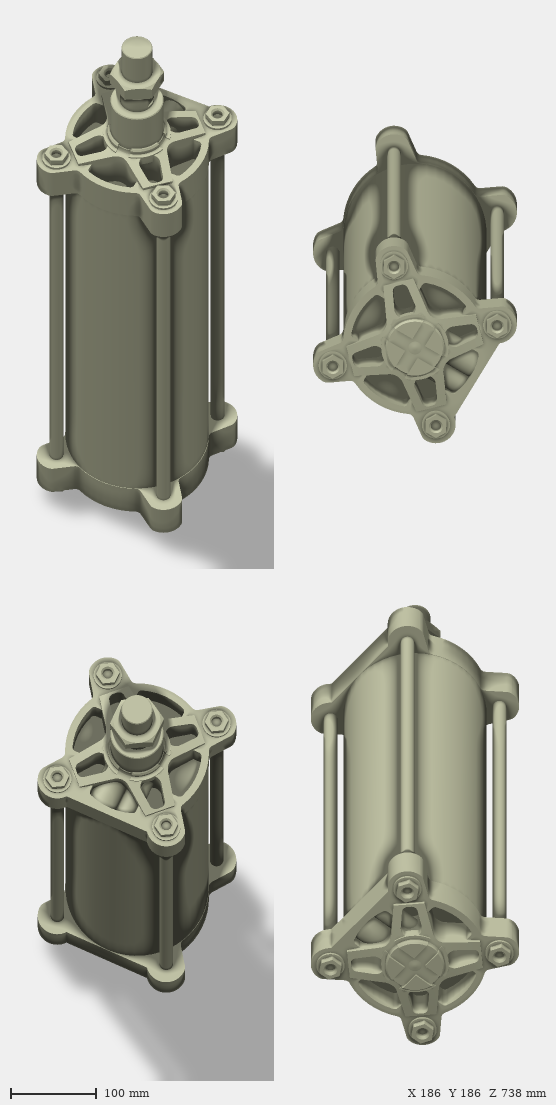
import cadquery as cq
import math


TOLERANCE = 0.01

CAP_THICKNESS = 40
BARREL_LENGTH = 478
BARREL_DIAMETER = 167
UPPER_CAP_Z = CAP_THICKNESS + BARREL_LENGTH
BODY_LENGTH = UPPER_CAP_Z + CAP_THICKNESS
CAP_DIAMETER = 168
LUG_OFFSET = 70
LUG_RADIUS = 23
LUG_BLEND_RADIUS = 12
FLAT_SIDE_Y = CAP_DIAMETER / 2
WEB_FILLET = 7
QUARTER_TURNS = (45, 135, 225, 315)

RIB_HALF_WIDTH_AT_AXIS = 30.7
RIB_TAPER = 0.16
RIB_START = 20
RIB_END = 78
RIB_END_HEIGHT = 3.8
RIB_SLOPE = 1 / 6
RIB_JOIN_RADIUS = 46
RIB_WALL = 10.5

POCKET_DEPTH = 34
SIDE_POCKET_RADIUS = 75.5
SIDE_POCKET_HALF_WIDTH = 29.5
SIDE_POCKET_INNER_FILLET = 16
SIDE_POCKET_OUTER_FILLET = 5
RIB_POCKET_START = 36.5
RIB_POCKET_END = 75
RIB_POCKET_INNER_FILLET = 11
RIB_POCKET_OUTER_FILLET = 7

BOSS_AXIS_DEPTH = CAP_THICKNESS / 2
PORT_BOSS_X = 12.5
PORT_BOSS_RADIUS = 17.5
CUSHION_BOSS_X = -18.5
CUSHION_BOSS_RADIUS = 13
BOSS_END_Y = 80

HUB_HEIGHT = 18.5
HUB_BASE_RADIUS = 39.5
HUB_BASE_HEIGHT = 12
HUB_RING_RADIUS = 34.5
HUB_RING_CHAMFER = 2
HUB_CORE_RADIUS = 32
HUB_CORE_HEIGHT = 15.5
HUB_CORE_FILLET = 5
HUB_FLOOR_HEIGHT = 10.2
HUB_SLOT_WIDTH = 17

TIE_ROD_DIAMETER = 16
WASHER_DIAMETER = 33
WASHER_THICKNESS = 3
TIE_NUT_FLATS = 24
TIE_NUT_HEIGHT = 8
TIE_NUT_BORE = 12
TIE_NUT_BORE_CHAMFER = (TIE_ROD_DIAMETER - TIE_NUT_BORE) / 2

TOTAL_LENGTH = 738
ROD_TIP_Z = TOTAL_LENGTH - HUB_HEIGHT
COLLAR_DIAMETER = 62
COLLAR_CHAMFER = 1
COLLAR_TOP_Z = ROD_TIP_Z - 91.5
ROD_DIAMETER = 40
THREAD_DIAMETER = 36
THREAD_LENGTH = 70.5
THREAD_CHAMFER = 1
UNDERCUT_DIAMETER = 33
UNDERCUT_LENGTH = 3
ROD_FLATS = 36
FLATS_TOP_DROP = 71.5
FLATS_LENGTH = 16
ROD_NUT_FLATS = 55
ROD_NUT_HEIGHT = 18
ROD_NUT_DROP = 42.5
ROD_NUT_FACE_DIAMETER = 54.6
ROD_NUT_CHAMFER_ANGLE = 30


def rib_half_width(distance):
    return RIB_HALF_WIDTH_AT_AXIS - RIB_TAPER * distance


def tapered_bar(start, end, offset):
    """Trapezoid sketch along +X following the rib sides, shifted outwards by offset."""
    near = rib_half_width(start) + offset
    far = rib_half_width(end) + offset
    return cq.Workplane("XY").polyline([(start, -near), (end, -far), (end, far), (start, near)]).close()


def at_quarter_turns(solid):
    """Four copies of a solid built along +X, turned to the diagonals and joined."""
    origin = (0, 0, 0)
    turned = [solid.rotate(origin, (0, 0, 1), angle) for angle in QUARTER_TURNS]
    return turned[0].union(turned[1]).union(turned[2]).union(turned[3])


def hexagon(flats, height, z):
    """Hexagonal prism with two corners on the Y direction."""
    corners = flats / math.cos(math.pi / 6)
    prism = cq.Workplane("XY").polygon(6, corners).extrude(height)
    return prism.rotate((0, 0, 0), (0, 0, 1), 30).translate((0, 0, z))


def lug_outline():
    """Lug with its web along +X: lug arc, blend arcs and web sides with the taper of the ribs."""
    lug_x = LUG_OFFSET * math.sqrt(2)
    diagonal = math.sin(math.pi / 4)
    arc_end = (lug_x + LUG_RADIUS * diagonal, LUG_RADIUS * diagonal)
    blend_offset = (LUG_RADIUS - LUG_BLEND_RADIUS) * diagonal
    side_normal = math.pi / 2 - math.atan(RIB_TAPER)
    blend_middle = (math.pi / 4 + side_normal) / 2

    def on_blend(angle):
        x = lug_x + blend_offset + LUG_BLEND_RADIUS * math.cos(angle)
        return (x, blend_offset + LUG_BLEND_RADIUS * math.sin(angle))

    def mirrored(point):
        return (point[0], -point[1])

    middle = on_blend(blend_middle)
    side_end = on_blend(side_normal)
    side_start = (RIB_START, side_end[1] + RIB_TAPER * (side_end[0] - RIB_START))
    return (
        cq.Workplane("XY")
        .moveTo(*mirrored(side_start))
        .lineTo(*mirrored(side_end))
        .threePointArc(mirrored(middle), mirrored(arc_end))
        .threePointArc((lug_x + LUG_RADIUS, 0), arc_end)
        .threePointArc(middle, side_end)
        .lineTo(*side_start)
        .close()
    )


def cap_plate():
    plate = cq.Workplane("XY").circle(CAP_DIAMETER / 2).extrude(CAP_THICKNESS)
    plate = plate.union(at_quarter_turns(lug_outline().extrude(CAP_THICKNESS)))

    def in_notch(edge):
        centre = edge.Center()
        return abs(math.hypot(centre.x, centre.y) - CAP_DIAMETER / 2) < TOLERANCE

    plate = plate.edges("|Z").filter(in_notch).fillet(WEB_FILLET)
    flat_side = cq.Workplane("XY").rect(2 * LUG_OFFSET, 2 * FLAT_SIDE_Y).extrude(CAP_THICKNESS)
    for x in (-LUG_OFFSET, LUG_OFFSET):
        flat_side = flat_side.union(
            cq.Workplane("XY").center(x, LUG_OFFSET).circle(LUG_RADIUS).extrude(CAP_THICKNESS)
        )
    beyond_lug_axes = cq.Workplane("XY").rect(4 * LUG_OFFSET, 2 * LUG_OFFSET).extrude(CAP_THICKNESS)
    beyond_lug_axes = beyond_lug_axes.translate((0, 2 * LUG_OFFSET, 0))
    return plate.union(flat_side.intersect(beyond_lug_axes))


def ribs():
    bar = tapered_bar(RIB_START, RIB_END, 0).extrude(HUB_HEIGHT)
    rim_radius = math.hypot(RIB_END, rib_half_width(RIB_END))
    rim_height = RIB_END_HEIGHT - RIB_SLOPE * (rim_radius - RIB_END)
    apex_height = RIB_END_HEIGHT + RIB_SLOPE * RIB_END
    cone = (
        cq.Workplane("XZ")
        .polyline([(0, 0), (rim_radius, 0), (rim_radius, rim_height), (0, apex_height)])
        .close()
        .revolve(360, (0, 0, 0), (0, 1, 0))
    )
    join = cq.Workplane("XY").circle(RIB_JOIN_RADIUS).extrude(HUB_HEIGHT)
    return at_quarter_turns(bar).union(join).intersect(cone).translate((0, 0, CAP_THICKNESS))


def side_pockets():
    floor_z = CAP_THICKNESS - POCKET_DEPTH
    height = POCKET_DEPTH + HUB_HEIGHT
    limit = cq.Workplane("XY").circle(SIDE_POCKET_RADIUS).extrude(height)
    span = cq.Workplane("XY").rect(2 * SIDE_POCKET_RADIUS, 2 * SIDE_POCKET_HALF_WIDTH).extrude(height)
    ribs_kept = at_quarter_turns(tapered_bar(0, SIDE_POCKET_RADIUS + LUG_RADIUS, 0).extrude(height))
    half = cq.Workplane("XY").rect(SIDE_POCKET_RADIUS, 4 * SIDE_POCKET_HALF_WIDTH).extrude(height)
    half = half.translate((SIDE_POCKET_RADIUS / 2, 0, 0))
    pocket = limit.intersect(span).intersect(half).cut(ribs_kept)
    pocket = pocket.edges("|Z").edges("<X").fillet(SIDE_POCKET_INNER_FILLET)
    outer_x = math.sqrt(SIDE_POCKET_RADIUS**2 - SIDE_POCKET_HALF_WIDTH**2)
    outer_corners = pocket.edges("|Z").filter(lambda edge: abs(edge.Center().x - outer_x) < TOLERANCE)
    pocket = outer_corners.fillet(SIDE_POCKET_OUTER_FILLET)
    pocket = pocket.rotate((0, 0, 0), (0, 0, 1), QUARTER_TURNS[0])
    return at_quarter_turns(pocket).translate((0, 0, floor_z))


def rib_pockets():
    pocket = tapered_bar(RIB_POCKET_START, RIB_POCKET_END, -RIB_WALL).extrude(POCKET_DEPTH + HUB_HEIGHT)
    pocket = pocket.edges("|Z").edges("<X").fillet(RIB_POCKET_INNER_FILLET)
    pocket = pocket.edges("|Z").edges(">X").fillet(RIB_POCKET_OUTER_FILLET)
    return at_quarter_turns(pocket).translate((0, 0, CAP_THICKNESS - POCKET_DEPTH))


def boss(x, radius):
    axis = cq.Workplane("XZ").center(x, CAP_THICKNESS - BOSS_AXIS_DEPTH).circle(radius)
    return axis.extrude(-BOSS_END_Y)


def hub():
    core = (
        cq.Workplane("XZ")
        .moveTo(0, 0)
        .lineTo(HUB_BASE_RADIUS, 0)
        .lineTo(HUB_BASE_RADIUS, HUB_FLOOR_HEIGHT)
        .lineTo(HUB_CORE_RADIUS + HUB_CORE_FILLET, HUB_FLOOR_HEIGHT)
        .radiusArc((HUB_CORE_RADIUS, HUB_FLOOR_HEIGHT + HUB_CORE_FILLET), HUB_CORE_FILLET)
        .lineTo(HUB_CORE_RADIUS, HUB_CORE_HEIGHT)
        .lineTo(0, HUB_CORE_HEIGHT)
        .close()
        .revolve(360, (0, 0, 0), (0, 1, 0))
    )
    crown = cq.Workplane("XY").circle(HUB_RING_RADIUS).extrude(HUB_HEIGHT)
    crown = crown.faces(">Z").chamfer(HUB_RING_CHAMFER)
    crown = crown.union(cq.Workplane("XY").circle(HUB_BASE_RADIUS).extrude(HUB_BASE_HEIGHT))
    slot_length = 2 * HUB_BASE_RADIUS
    slots = cq.Workplane("XY").rect(slot_length, HUB_SLOT_WIDTH).extrude(HUB_HEIGHT)
    slots = slots.union(cq.Workplane("XY").rect(HUB_SLOT_WIDTH, slot_length).extrude(HUB_HEIGHT))
    return core.union(crown.cut(slots)).translate((0, 0, CAP_THICKNESS))


def tie_rod_end():
    washer = cq.Workplane("XY").circle(WASHER_DIAMETER / 2).extrude(WASHER_THICKNESS)
    nut = hexagon(TIE_NUT_FLATS, TIE_NUT_HEIGHT, WASHER_THICKNESS)
    nut = nut.faces(">Z").workplane().hole(TIE_NUT_BORE, TIE_NUT_HEIGHT)
    nut = nut.faces(">Z").edges("%CIRCLE").chamfer(TIE_NUT_BORE_CHAMFER)
    return washer.union(nut).translate((0, 0, CAP_THICKNESS))


def end_cap():
    """End cap with its outer side up and its inner face at Z = 0."""
    cap = cap_plate().union(ribs())
    cap = cap.cut(side_pockets()).cut(rib_pockets())
    cap = cap.union(boss(PORT_BOSS_X, PORT_BOSS_RADIUS)).union(boss(CUSHION_BOSS_X, CUSHION_BOSS_RADIUS))
    cap = cap.union(hub())
    for x in (-LUG_OFFSET, LUG_OFFSET):
        for y in (-LUG_OFFSET, LUG_OFFSET):
            cap = cap.union(tie_rod_end().translate((x, y, 0)))
    return cap


def make_rod():
    thread_start = ROD_TIP_Z - THREAD_LENGTH
    rod = (
        cq.Workplane("XY")
        .workplane(offset=UPPER_CAP_Z)
        .circle(ROD_DIAMETER / 2)
        .extrude(thread_start - UPPER_CAP_Z)
    )
    flats_z = ROD_TIP_Z - FLATS_TOP_DROP - FLATS_LENGTH / 2
    for side in (-1, 1):
        cutter = cq.Workplane("XY").box(ROD_DIAMETER, ROD_DIAMETER, FLATS_LENGTH)
        rod = rod.cut(cutter.translate((side * (ROD_FLATS + ROD_DIAMETER) / 2, 0, flats_z)))
    undercut = cq.Workplane("XY").circle(UNDERCUT_DIAMETER / 2).extrude(UNDERCUT_LENGTH)
    thread = cq.Workplane("XY").circle(THREAD_DIAMETER / 2).extrude(THREAD_LENGTH - UNDERCUT_LENGTH)
    thread = thread.faces(">Z").chamfer(THREAD_CHAMFER)
    rod = rod.union(undercut.translate((0, 0, thread_start)))
    return rod.union(thread.translate((0, 0, thread_start + UNDERCUT_LENGTH)))


def make_housing():
    barrel = cq.Workplane("XY").workplane(offset=CAP_THICKNESS)
    housing = barrel.circle(BARREL_DIAMETER / 2).extrude(BARREL_LENGTH)
    for x in (-LUG_OFFSET, LUG_OFFSET):
        for y in (-LUG_OFFSET, LUG_OFFSET):
            tie_rod = barrel.center(x, y).circle(TIE_ROD_DIAMETER / 2).extrude(BARREL_LENGTH)
            housing = housing.union(tie_rod)
    cap = end_cap()
    housing = housing.union(cap.translate((0, 0, UPPER_CAP_Z)))
    housing = housing.union(cap.mirror("XY").translate((0, 0, CAP_THICKNESS)))
    collar = cq.Workplane("XY").workplane(offset=BODY_LENGTH).circle(COLLAR_DIAMETER / 2)
    collar = collar.extrude(COLLAR_TOP_Z - BODY_LENGTH).faces(">Z").chamfer(COLLAR_CHAMFER)
    housing = housing.union(collar)
    rod_hole = cq.Workplane("XY").workplane(offset=UPPER_CAP_Z).circle(ROD_DIAMETER / 2)
    return housing.cut(rod_hole.extrude(COLLAR_TOP_Z - UPPER_CAP_Z))


def make_rod_nut():
    nut_bottom = ROD_TIP_Z - ROD_NUT_DROP - ROD_NUT_HEIGHT
    nut = hexagon(ROD_NUT_FLATS, ROD_NUT_HEIGHT, nut_bottom)
    face_radius = ROD_NUT_FACE_DIAMETER / 2
    cone_radius = face_radius + ROD_NUT_HEIGHT / math.tan(math.radians(ROD_NUT_CHAMFER_ANGLE))
    chamfer_cone = (
        cq.Workplane("XY")
        .workplane(offset=nut_bottom)
        .circle(cone_radius)
        .workplane(offset=ROD_NUT_HEIGHT)
        .circle(face_radius)
        .loft()
    )
    return nut.intersect(chamfer_cone).faces(">Z").workplane().hole(THREAD_DIAMETER)


housing = make_housing().solids()
rod = make_rod().solids()
rod_nut = make_rod_nut().solids()

result = cq.Compound.makeCompound([housing.val(), rod.val(), rod_nut.val()])